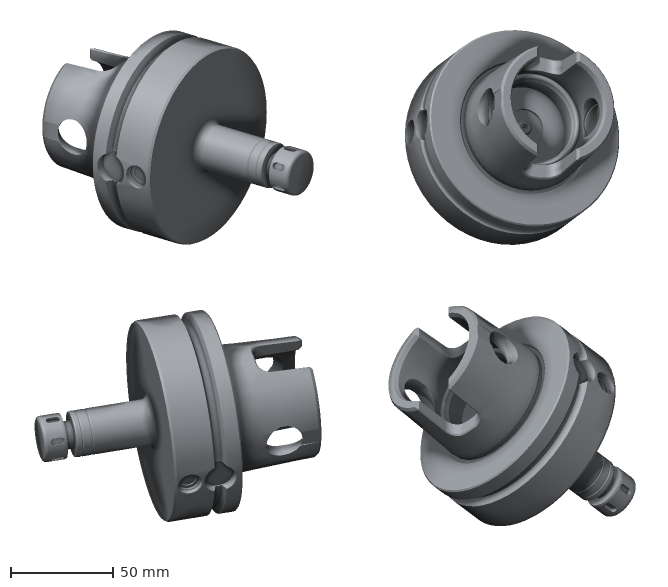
import cadquery as cq
import math


total_length = 135.0
flange_radius = 50.02

taper_front_radius = 30.1
taper_rear_radius = 32.0
mouth_chamfer_length = 1.6
mouth_chamfer_height = 1.1
taper_end = 42.7
neck_start = 43.6
neck_radius = 31.6

bore_radius = 24.2
bore_chamfer_length = 2.2
bore_chamfer_height = 1.1
bore_depth = 32.5
lip_front = 31.0
lip_inner_radius = 21.2
socket_radius = 20.4
socket_start = 34.0
socket_floor = 43.5

recess_radius = 18.5 / 2
recess_depth = 1.4
boss_base_radius = 7.3 / 2
boss_top_radius = 5.8 / 2
boss_height = 0.8
boss_hole_mouth_diameter = 3.5
boss_hole_diameter = 3.0
boss_hole_countersink = 0.3
boss_hole_depth = 1.4
pilot_diameter = 1.8
pilot_depth = 2.7

drive_slot_width = 20.0
drive_slot_depth = 26.6
drive_slot_corner = 6.1
drive_slot_mouth_chamfer = 1.2
drive_slot_edge_chamfer = 0.7

ball_hole_diameter = 18.5
ball_hole_x = 19.0
ball_seat_tilt = 32.0
ball_seat_height = 27.0
ball_seat_overrun = 3.5
lead_in_width = 8.5
lead_in_height = 29.7

flange_front = 44.7
flange_rear = 79.1
flange_front_chamfer = 0.7
flange_rear_length = 1.2
flange_rear_height = 0.7
gripper_start = 52.6
gripper_floor_start = 54.3
gripper_floor_end = 57.5
gripper_end = 59.0
gripper_floor_radius = 46.2
face_recess_outer_radius = 34.2
face_recess_floor_radius = 33.3
face_recess_depth = face_recess_outer_radius - face_recess_floor_radius

pocket_diameter = 16.0
pocket_x = 56.0
pocket_floor = 45.0
screw_hole_x = 71.3
screw_hole_steps = [(12.0, 2.7), (11.2, 4.0), (8.0, 4.7)]

spindle_radius = 11.5
spindle_fillet = 2.8
spindle_end = 119.0
spindle_end_chamfer_length = 0.8
spindle_end_chamfer_height = 0.3
ring_groove_depth = 0.3
ring_groove_width = 1.1
ring_groove_starts = [110.2, 115.2]
stem_radius = 7.0

nut_radius = 11.5
nut_start = 123.4
nut_rear_chamfer = 0.3
nut_rear_chamfer_length = 1.0
nut_front_round = 1.8
nut_slot_count = 6
nut_slot_length = 7.0
nut_slot_width = 3.5
nut_slot_depth = 2.2
nut_slot_x = 128.2


def radial_cylinder(diameter, x, y_start, y_end):
    """Cylinder along Y, standing on the tool axis at the given X."""
    return (
        cq.Workplane("XZ", origin=(0, y_start, 0))
        .center(x, 0)
        .circle(diameter / 2)
        .extrude(y_start - y_end)
    )


def turned_blank():
    """Revolved outer shape from the shank mouth to the end of the stem."""
    fillet_top = spindle_radius + spindle_fillet
    profile = (
        cq.Workplane("XY")
        .moveTo(0, 0)
        .lineTo(0, taper_front_radius - mouth_chamfer_height)
        .lineTo(mouth_chamfer_length, taper_front_radius)
        .lineTo(taper_end, taper_rear_radius)
        .lineTo(neck_start, neck_radius)
        .lineTo(flange_front + face_recess_depth, neck_radius)
        .lineTo(flange_front + face_recess_depth, face_recess_floor_radius)
        .lineTo(flange_front, face_recess_outer_radius)
        .lineTo(flange_front, flange_radius - flange_front_chamfer)
        .lineTo(flange_front + flange_front_chamfer, flange_radius)
        .lineTo(gripper_start, flange_radius)
        .lineTo(gripper_floor_start, gripper_floor_radius)
        .lineTo(gripper_floor_end, gripper_floor_radius)
        .lineTo(gripper_end, flange_radius)
        .lineTo(flange_rear - flange_rear_length, flange_radius)
        .lineTo(flange_rear, flange_radius - flange_rear_height)
        .lineTo(flange_rear, fillet_top)
        .radiusArc((flange_rear + spindle_fillet, spindle_radius), -spindle_fillet)
    )
    for start in ring_groove_starts:
        profile = (
            profile.lineTo(start, spindle_radius)
            .lineTo(start + ring_groove_width / 2, spindle_radius - ring_groove_depth)
            .lineTo(start + ring_groove_width, spindle_radius)
        )
    return (
        profile.lineTo(spindle_end - spindle_end_chamfer_length, spindle_radius)
        .lineTo(spindle_end, spindle_radius - spindle_end_chamfer_height)
        .lineTo(spindle_end, stem_radius)
        .lineTo(total_length, stem_radius)
        .lineTo(total_length, 0)
        .close()
        .revolve(360, (0, 0, 0), (1, 0, 0))
    )


def shank_cavity():
    """Revolved hollow of the shank: bore, rounded lip, socket and floor boss."""
    lip_middle_radius = (bore_radius + lip_inner_radius) / 2
    recess_floor = socket_floor + recess_depth
    boss_top = recess_floor - boss_height
    cavity = (
        cq.Workplane("XY")
        .moveTo(0, 0)
        .lineTo(0, bore_radius + bore_chamfer_height)
        .lineTo(bore_chamfer_length, bore_radius)
        .lineTo(bore_depth, bore_radius)
        .threePointArc((lip_front, lip_middle_radius), (bore_depth, lip_inner_radius))
        .lineTo(socket_start, socket_radius)
        .lineTo(socket_floor, socket_radius)
        .lineTo(socket_floor, recess_radius)
        .lineTo(recess_floor, recess_radius)
        .lineTo(recess_floor, boss_base_radius)
        .lineTo(boss_top, boss_top_radius)
        .lineTo(boss_top, boss_hole_mouth_diameter / 2)
        .lineTo(boss_top + boss_hole_countersink, boss_hole_diameter / 2)
        .lineTo(boss_top + boss_hole_depth, boss_hole_diameter / 2)
        .lineTo(boss_top + boss_hole_depth, pilot_diameter / 2)
        .lineTo(boss_top + pilot_depth, pilot_diameter / 2)
        .lineTo(boss_top + pilot_depth, 0)
        .close()
    )
    return cavity.revolve(360, (0, 0, 0), (1, 0, 0))


def drive_slot():
    """Cutter along Z for both drive slots, flared at the shank mouth."""
    half = drive_slot_width / 2
    flared = half + drive_slot_mouth_chamfer
    corner_x = drive_slot_depth - drive_slot_corner
    return (
        cq.Workplane("XY")
        .moveTo(0, -flared)
        .lineTo(mouth_chamfer_length, -half)
        .lineTo(corner_x, -half)
        .radiusArc((drive_slot_depth, drive_slot_corner - half), -drive_slot_corner)
        .lineTo(drive_slot_depth, half - drive_slot_corner)
        .radiusArc((corner_x, half), -drive_slot_corner)
        .lineTo(mouth_chamfer_length, half)
        .lineTo(0, flared)
        .close()
        .extrude(flange_radius, both=True)
    )


def chamfer_drive_slots(body):
    """Break the outer edges of both drive slots where they meet the taper."""
    edges = []
    for edge in body.edges().vals():
        middle = edge.positionAt(0.5)
        radius = math.hypot(middle.y, middle.z)
        taper_radius = taper_front_radius + (taper_rear_radius - taper_front_radius) * (
            middle.x - mouth_chamfer_length
        ) / (taper_end - mouth_chamfer_length)
        on_taper = abs(radius - taper_radius) < 0.07
        in_slot = abs(middle.y) < drive_slot_width / 2 + 0.01
        past_mouth = mouth_chamfer_length + 0.1 < middle.x < drive_slot_depth + 0.1
        if on_taper and in_slot and past_mouth and abs(middle.z) > bore_radius:
            edges.append(edge)
    return body.newObject(edges).chamfer(drive_slot_edge_chamfer)


def ball_seat(side):
    """Blind cylinder from the bore into a ball hole, leaning toward the flange."""
    tilt = math.radians(ball_seat_tilt)
    crossing = cq.Vector(ball_hole_x, side * ball_seat_height, 0)
    outward = cq.Vector(math.sin(tilt), side * math.cos(tilt), 0)
    length = ball_seat_height + ball_seat_overrun
    start = crossing - outward * ball_seat_height
    return cq.Workplane(cq.Solid.makeCylinder(ball_hole_diameter / 2, length, start, outward))


def lead_in(side):
    """Flat groove on the taper running from the mouth into a ball hole."""
    height = taper_rear_radius - lead_in_height
    return (
        cq.Workplane("XY")
        .box(ball_hole_x, height, lead_in_width, centered=(False, True, True))
        .translate((0, side * (lead_in_height + height / 2), 0))
    )


def make_housing():
    """Shank, flange, spindle and stem in one piece."""
    body = turned_blank().cut(shank_cavity()).cut(drive_slot())
    body = chamfer_drive_slots(body)
    body = body.cut(radial_cylinder(ball_hole_diameter, ball_hole_x, -flange_radius, flange_radius))
    for side in (-1, 1):
        rim = side * flange_radius
        body = body.cut(lead_in(side)).cut(ball_seat(side))
        body = body.cut(radial_cylinder(pocket_diameter, pocket_x, side * pocket_floor, rim))
        for diameter, depth in screw_hole_steps:
            body = body.cut(radial_cylinder(diameter, screw_hole_x, rim - side * depth, rim))
    return body


def nut_slot(angle):
    """Oval wrench slot cut radially into the nut, turned about the tool axis."""
    return (
        cq.Workplane("XY", origin=(nut_slot_x, 0, nut_radius - nut_slot_depth))
        .slot2D(nut_slot_length, nut_slot_width)
        .extrude(2 * nut_slot_depth)
        .rotate((0, 0, 0), (1, 0, 0), angle)
    )


def make_nut():
    """Ring around the stem with a rounded front edge and wrench slots."""
    nut = (
        cq.Workplane("XY")
        .moveTo(nut_start, stem_radius)
        .lineTo(nut_start, nut_radius - nut_rear_chamfer)
        .lineTo(nut_start + nut_rear_chamfer_length, nut_radius)
        .lineTo(total_length - nut_front_round, nut_radius)
        .radiusArc((total_length, nut_radius - nut_front_round), nut_front_round)
        .lineTo(total_length, stem_radius)
        .close()
        .revolve(360, (0, 0, 0), (1, 0, 0))
    )
    for index in range(nut_slot_count):
        nut = nut.cut(nut_slot(index * 360 / nut_slot_count))
    return nut


housing = make_housing()
nut = make_nut()
result = cq.Compound.makeCompound([housing.val(), nut.val()])